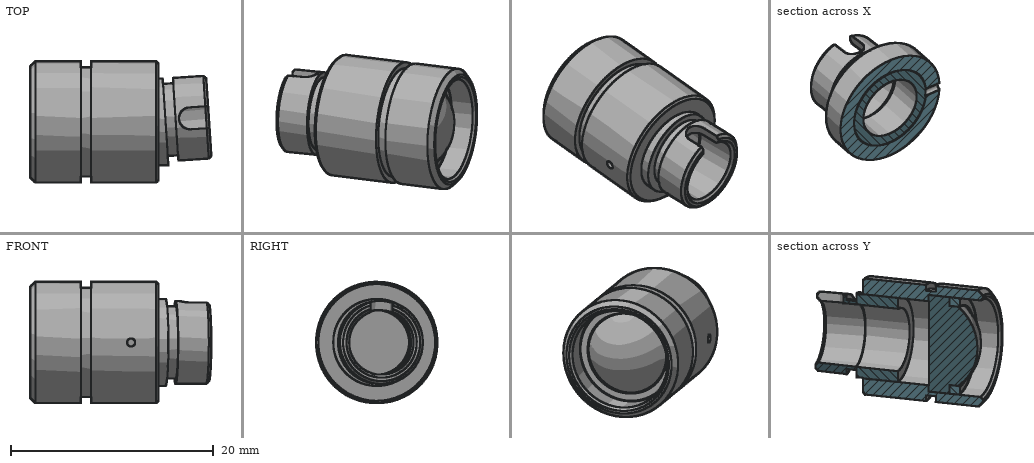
import cadquery as cq
import math

barrel_length = 12.68
barrel_radius = 6.0
front_chamfer = 0.52
rear_chamfer = 0.23
groove_start = 5.01
groove_end = 6.02
groove_radius = 5.4
front_bore_radius = 4.95
mouth_chamfer = 0.27
shoulder_x = 5.73
side_hole_x = 9.98
side_hole_diameter = 0.79

sleeve_radius = 4.3
sleeve_front_x = 8.95
sleeve_rear_x = 13.38
tilt_angle = 3.8
tail_bore_radius = 3.19

tail_offset_y = 0.2
neck_radius = 3.58
neck_length = 1.0
collar_radius = 4.1
collar_length = 3.3
collar_chamfer = 0.29
notch_width = 2.17
notch_depth = 2.95

ring_front_x = 2.44
ring_rear_x = 3.58
dome_base_x = 2.55
ring_chamfer = 0.09
ring_mouth_radius = 4.12
lens_radius = 4.05
dome_height = 1.97

tail_length = neck_length + collar_length


def revolve_about_x(profile):
    return profile.close().revolve(360, (0, 0, 0), (1, 0, 0))


def make_barrel():
    mouth_radius = front_bore_radius + mouth_chamfer
    profile = (
        cq.Workplane("XY")
        .moveTo(0, mouth_radius)
        .lineTo(0, barrel_radius - front_chamfer)
        .lineTo(front_chamfer, barrel_radius)
        .lineTo(groove_start, barrel_radius)
        .lineTo(groove_start, groove_radius)
        .lineTo(groove_end, groove_radius)
        .lineTo(groove_end, barrel_radius)
        .lineTo(barrel_length - rear_chamfer, barrel_radius)
        .lineTo(barrel_length, barrel_radius - rear_chamfer)
        .lineTo(barrel_length, sleeve_radius)
        .lineTo(shoulder_x, sleeve_radius)
        .lineTo(shoulder_x, front_bore_radius)
        .lineTo(mouth_chamfer, front_bore_radius)
    )
    side_hole = (
        cq.Workplane("XZ")
        .center(side_hole_x, 0)
        .circle(side_hole_diameter / 2)
        .extrude(barrel_radius)
    )
    return revolve_about_x(profile).cut(side_hole)


def make_sleeve():
    face_shift = sleeve_radius * math.tan(math.radians(tilt_angle))
    side_outline = (
        cq.Workplane("XY")
        .workplane(offset=-sleeve_radius)
        .moveTo(sleeve_front_x, -sleeve_radius)
        .lineTo(sleeve_rear_x + face_shift, -sleeve_radius)
        .lineTo(sleeve_rear_x - face_shift, sleeve_radius)
        .lineTo(sleeve_front_x, sleeve_radius)
        .close()
        .extrude(2 * sleeve_radius)
    )
    tube = (
        cq.Workplane("YZ", origin=(sleeve_front_x, 0, 0))
        .circle(sleeve_radius)
        .circle(tail_bore_radius)
        .extrude(2 * sleeve_radius)
    )
    return tube.intersect(side_outline)


def make_tail():
    profile = (
        cq.Workplane("XY")
        .moveTo(0, tail_bore_radius)
        .lineTo(0, neck_radius)
        .lineTo(neck_length, neck_radius)
        .lineTo(neck_length, collar_radius)
        .lineTo(tail_length - collar_chamfer, collar_radius)
        .lineTo(tail_length, collar_radius - collar_chamfer)
        .lineTo(tail_length, tail_bore_radius + collar_chamfer)
        .lineTo(tail_length - collar_chamfer, tail_bore_radius)
    )
    half_width = notch_width / 2
    notch_tip_x = tail_length - notch_depth
    notch = (
        cq.Workplane("XY")
        .moveTo(tail_length, -half_width)
        .lineTo(notch_tip_x + half_width, -half_width)
        .threePointArc((notch_tip_x, 0), (notch_tip_x + half_width, half_width))
        .lineTo(tail_length, half_width)
        .close()
        .extrude(collar_radius)
    )
    face_x = sleeve_rear_x - tail_offset_y * math.tan(math.radians(tilt_angle))
    return (
        revolve_about_x(profile)
        .cut(notch)
        .rotate((0, 0, 0), (0, 0, 1), tilt_angle)
        .translate((face_x, tail_offset_y, 0))
    )


def make_retaining_ring():
    return revolve_about_x(
        cq.Workplane("XY")
        .moveTo(ring_front_x, ring_mouth_radius)
        .lineTo(ring_front_x, front_bore_radius - ring_chamfer)
        .lineTo(ring_front_x + ring_chamfer, front_bore_radius)
        .lineTo(ring_rear_x, front_bore_radius)
        .lineTo(ring_rear_x, lens_radius)
        .lineTo(dome_base_x, lens_radius)
    )


def make_lens():
    dome_radius = (lens_radius**2 + dome_height**2) / (2 * dome_height)
    apex_x = dome_base_x - dome_height
    half_chord = lens_radius / 2
    mid_x = apex_x + dome_radius - math.sqrt(dome_radius**2 - half_chord**2)
    return revolve_about_x(
        cq.Workplane("XY")
        .moveTo(apex_x, 0)
        .threePointArc((mid_x, half_chord), (dome_base_x, lens_radius))
        .lineTo(ring_rear_x, lens_radius)
        .lineTo(ring_rear_x, front_bore_radius)
        .lineTo(shoulder_x, front_bore_radius)
        .lineTo(shoulder_x, 0)
    )


barrel = make_barrel()
sleeve = make_sleeve()
tail = make_tail()
retaining_ring = make_retaining_ring()
lens = make_lens()

result = cq.Compound.makeCompound(
    [barrel.val(), sleeve.val(), tail.val(), retaining_ring.val(), lens.val()]
)